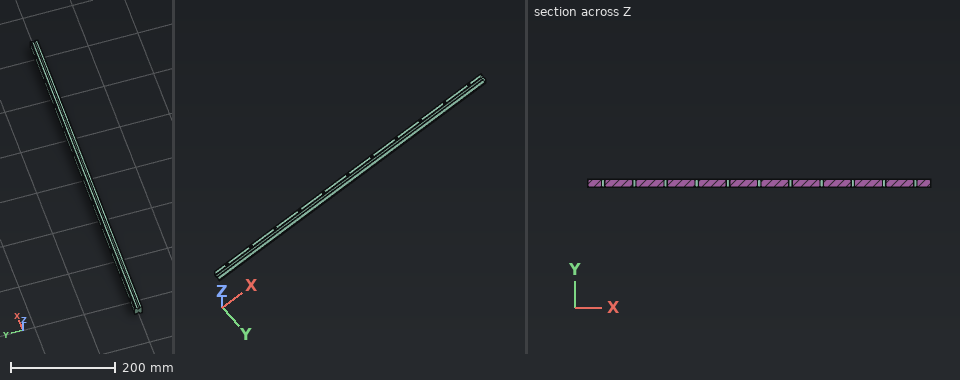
import cadquery as cq
import math

RAIL_LENGTH = 660.0
RAIL_HEIGHT = 15.5
RAIL_WIDTH = 20.0

EDGE_CHAMFER = 1.1

GROOVE_HEAD_Y = 5.0
GROOVE_KINK_Y = 4.1
GROOVE_BOTTOM_Y = -0.25
ENTRY_SLOPE = 54.0
FLOOR_SLOPE = 30.6
WALL_SLOPE = 60.0
KINK_RADIUS = 1.5

HOLE_DIAMETER = 6.0
HOLE_PITCH = 60.0
HOLE_COUNT = 11


def drop(run, slope):
    """Depth reached after a run along Y at the given slope in degrees."""
    return run * math.tan(math.radians(slope))


def make_rail():
    """Rectangular bar with all four long edges chamfered."""
    bar = cq.Workplane("XY").box(RAIL_LENGTH, RAIL_HEIGHT, RAIL_WIDTH)
    return bar.edges("|X").chamfer(EDGE_CHAMFER)


def make_upper_groove():
    """Cutter for the asymmetric groove in the +Z flank."""
    flank_z = RAIL_WIDTH / 2
    kink_depth = drop(GROOVE_HEAD_Y - GROOVE_KINK_Y, ENTRY_SLOPE)
    bottom_depth = kink_depth + drop(GROOVE_KINK_Y - GROOVE_BOTTOM_Y, FLOOR_SLOPE)
    wall_run = bottom_depth / math.tan(math.radians(WALL_SLOPE))
    outline = [
        (GROOVE_HEAD_Y, flank_z),
        (GROOVE_KINK_Y, flank_z - kink_depth),
        (GROOVE_BOTTOM_Y, flank_z - bottom_depth),
        (GROOVE_BOTTOM_Y - wall_run, flank_z),
    ]
    cutter = (
        cq.Workplane("YZ", origin=(-RAIL_LENGTH / 2, 0, 0))
        .polyline(outline)
        .close()
        .extrude(RAIL_LENGTH)
    )
    kink_edge = cq.selectors.NearestToPointSelector((0, GROOVE_KINK_Y, flank_z - kink_depth))
    return cutter.edges("|X").edges(kink_edge).fillet(KINK_RADIUS)


def make_mounting_holes():
    """Plain through holes along Y, evenly spaced about the middle of the rail."""
    return (
        cq.Workplane("XZ", origin=(0, RAIL_HEIGHT / 2, 0))
        .rarray(HOLE_PITCH, 1, HOLE_COUNT, 1)
        .circle(HOLE_DIAMETER / 2)
        .extrude(RAIL_HEIGHT)
    )


upper_groove = make_upper_groove()
lower_groove = upper_groove.mirror("XY")
result = make_rail().cut(upper_groove).cut(lower_groove).cut(make_mounting_holes())